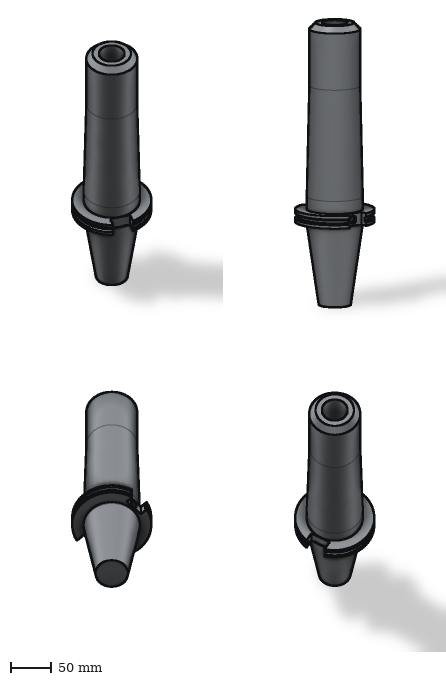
import cadquery as cq
import math

gauge_diameter = 69.85
taper_length = 101.6
taper_ratio = 7 / 24
projection = 254.0

flange_diameter = 98.425
flange_bottom_z = 3.175
flange_top_z = 19.05

groove_floor_width = 3.6
groove_mouth_width = 7.1
groove_angle = 60.0
groove_depth = (groove_mouth_width - groove_floor_width) / 2 / math.tan(math.radians(groove_angle / 2))
groove_center_z = (flange_bottom_z + flange_top_z) / 2

shank_top_z = 34.925
nose_diameter = 63.5
nose_length = 79.375
nose_chamfer = 7.9375

bore_diameter = 31.75
bore_depth = nose_length

key_slot_width = 25.92
key_slot_floor_left = 37.7
key_slot_floor_right = 35.3

dimple_diameter = 9.525
dimple_depth = 5.0


def make_turned_body():
    """Taper, shoulder, conical neck and chamfered nose, turned about Z."""
    gauge_radius = gauge_diameter / 2
    small_end_radius = gauge_radius - taper_length * taper_ratio / 2
    nose_radius = nose_diameter / 2
    outline = [
        (0, -taper_length),
        (small_end_radius, -taper_length),
        (gauge_radius, 0),
        (gauge_radius, shank_top_z),
        (nose_radius, projection - nose_length),
        (nose_radius, projection - nose_chamfer),
        (nose_radius - nose_chamfer, projection),
        (0, projection),
    ]
    return cq.Workplane("XZ").polyline(outline).close().revolve(360, (0, 0), (0, 1))


def make_flange():
    """Flange disc with a V groove around its rim."""
    rim_radius = flange_diameter / 2
    floor_radius = rim_radius - groove_depth
    outline = [
        (0, flange_bottom_z),
        (rim_radius, flange_bottom_z),
        (rim_radius, groove_center_z - groove_mouth_width / 2),
        (floor_radius, groove_center_z - groove_floor_width / 2),
        (floor_radius, groove_center_z + groove_floor_width / 2),
        (rim_radius, groove_center_z + groove_mouth_width / 2),
        (rim_radius, flange_top_z),
        (0, flange_top_z),
    ]
    return cq.Workplane("XZ").polyline(outline).close().revolve(360, (0, 0), (0, 1))


def make_key_slot(floor_distance, side):
    """Cutter for one drive key slot; side is -1 for -X and +1 for +X."""
    radial_length = flange_diameter / 2
    return cq.Workplane("XY").box(
        radial_length,
        key_slot_width,
        flange_top_z - flange_bottom_z,
    ).translate((side * (floor_distance + radial_length / 2), 0, groove_center_z))


def make_dimple():
    """Blind round hole in the floor of the -X key slot."""
    floor_plane = cq.Plane(
        origin=(-key_slot_floor_left, 0, groove_center_z),
        xDir=(0, 1, 0),
        normal=(1, 0, 0),
    )
    return cq.Workplane(floor_plane).circle(dimple_diameter / 2).extrude(dimple_depth)


def make_bore():
    """Blind tool bore in the nose face."""
    nose_face = cq.Workplane("XY", origin=(0, 0, projection))
    return nose_face.circle(bore_diameter / 2).extrude(-bore_depth)


result = make_turned_body().union(make_flange())
result = result.cut(make_key_slot(key_slot_floor_left, -1))
result = result.cut(make_key_slot(key_slot_floor_right, 1))
result = result.cut(make_dimple())
result = result.cut(make_bore())